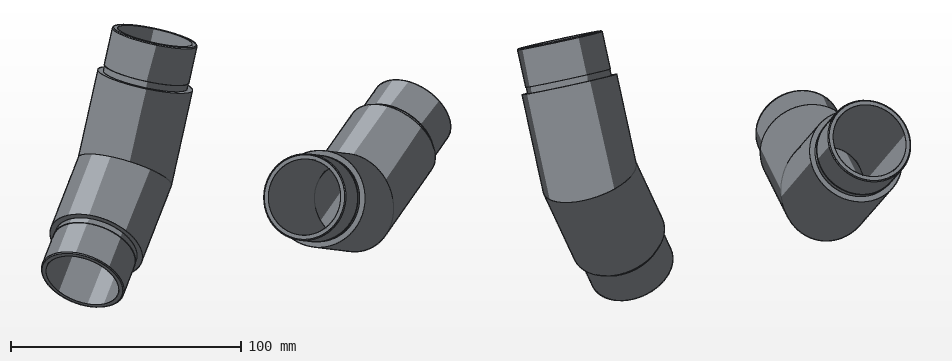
import cadquery as cq
import math


overall_length = 117.5
bend_angle = 45.0
body_diameter = 42.2
spigot_diameter = 37.7
groove_diameter = 37.3
bore_diameter = 33.1
spigot_length = 19.9
groove_width = 2.8
end_chamfer = 0.5

body_radius = body_diameter / 2
spigot_radius = spigot_diameter / 2
groove_radius = groove_diameter / 2
bore_radius = bore_diameter / 2
tip_radius = spigot_radius - end_chamfer

bend = math.radians(bend_angle)
leg_length = (overall_length - tip_radius * math.sin(bend)) / (1 + math.cos(bend))
shoulder = leg_length - spigot_length
groove_end = shoulder + groove_width

overrun = body_diameter
mitre_tilt = bend_angle / 2


def make_leg():
    """Hollow leg running along -Y, trimmed at the mitre plane."""
    leg = (
        cq.Workplane("XY")
        .moveTo(bore_radius, overrun)
        .lineTo(body_radius, overrun)
        .lineTo(body_radius, -shoulder)
        .lineTo(groove_radius, -shoulder)
        .lineTo(groove_radius, -groove_end)
        .lineTo(spigot_radius, -groove_end)
        .lineTo(spigot_radius, -leg_length + end_chamfer)
        .lineTo(tip_radius, -leg_length)
        .lineTo(bore_radius, -leg_length)
        .close()
        .revolve(360, (0, 0, 0), (0, 1, 0))
    )
    block_size = 4 * overrun
    far_side = (
        cq.Workplane("XY")
        .box(block_size, block_size, block_size, centered=(True, False, True))
        .rotate((0, 0, 0), (1, 0, 0), mitre_tilt)
    )
    return leg.cut(far_side)


level_leg = make_leg()

mitre_axis_y = -math.sin(math.radians(mitre_tilt))
mitre_axis_z = math.cos(math.radians(mitre_tilt))
raised_leg = level_leg.rotate((0, 0, 0), (0, mitre_axis_y, mitre_axis_z), 180)

result = level_leg.union(raised_leg)